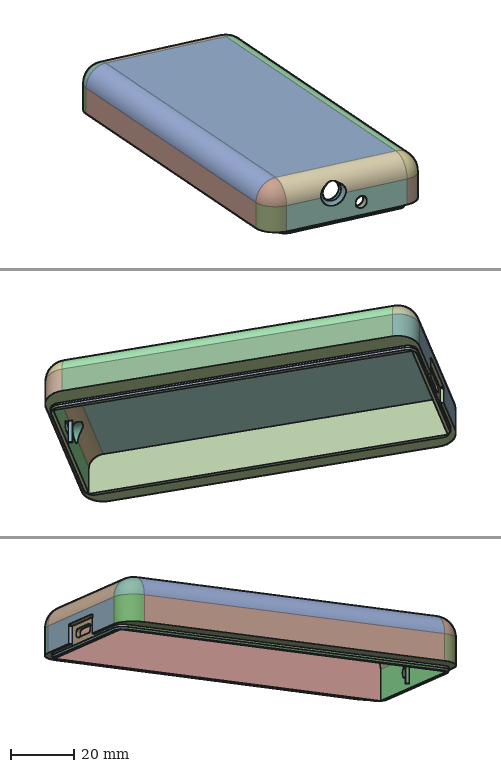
import cadquery as cq
import math

length = 122.0
width = 58.0
height = 17.5
edge_radius = 7.1
wall = 2.5

rim_height = 1.5
rim_end_inset = 1.0
rim_side_inset = 5.6
rim_corner_radius = 3.4
rim_bevel_height = 0.7
rim_bevel_width = 0.4

port_width = 9.5
port_height = 2.9
port_z = 4.1
panel_width = 14.5
panel_top = 7.2
panel_bevel = 0.6

button_diameter = 6.6
button_mouth_diameter = 9.3
button_mouth_depth = 1.0
button_y = -4.8
button_z = 11.3

small_hole_diameter = 4.0
small_hole_y = 5.4
small_hole_z = 5.9
rib_width = 0.5
rib_depth = 1.2
rib_height = 8.5
rib_y = 3.0

end_x = length / 2
rim_length = length - 2 * rim_end_inset
rim_width = width - 2 * rim_side_inset
rim_wall = wall - rim_end_inset
cavity_length = length - 2 * wall
cavity_width = rim_width - 2 * rim_wall
cavity_height = height - wall
cavity_top_radius = edge_radius - wall
cut_depth = 2 * wall


def block(size_x, size_y, size_z):
    """Block centred in X and Y, standing on Z = 0."""
    return cq.Workplane("XY").box(size_x, size_y, size_z, centered=(True, True, False))


def make_body():
    body = block(length, width, height - rim_height)
    body = body.edges("|Z or >Z").fillet(edge_radius)
    return body.translate((0, 0, rim_height))


def make_panel_recess():
    """Recess in the -X end, open at the bottom, with sides that slope outwards."""
    slope = math.degrees(math.atan2(panel_bevel, rim_end_inset))
    return (
        cq.Workplane("YZ", origin=(rim_end_inset - end_x, 0, panel_top / 2))
        .rect(panel_width, panel_top)
        .extrude(-rim_end_inset, taper=-slope)
    )


def make_rim():
    """Rim block, reaching up into the body so that the two join."""
    rim = block(rim_length, rim_width, 2 * rim_height).edges("|Z").fillet(rim_corner_radius)
    return rim.faces("<Z").edges().chamfer(rim_bevel_height, rim_bevel_width)


def make_cavity():
    """Interior space, open through the rim."""
    cavity = block(cavity_length, cavity_width, cavity_height)
    return cavity.faces(">Z").edges("|Y").fillet(cavity_top_radius)


def make_port():
    return (
        cq.Workplane("YZ", origin=(-end_x, 0, port_z))
        .slot2D(port_width, port_height)
        .extrude(cut_depth)
    )


def make_button_hole():
    hole = (
        cq.Workplane("YZ", origin=(end_x, button_y, button_z))
        .circle(button_diameter / 2)
        .extrude(-cut_depth)
    )
    mouth = (
        cq.Workplane("YZ", origin=(end_x, button_y, button_z))
        .circle(button_mouth_diameter / 2)
        .workplane(offset=-button_mouth_depth)
        .circle(button_diameter / 2)
        .loft(combine=True)
    )
    return hole.union(mouth)


def make_small_hole():
    return (
        cq.Workplane("YZ", origin=(end_x, small_hole_y, small_hole_z))
        .circle(small_hole_diameter / 2)
        .extrude(-cut_depth)
    )


def make_rib():
    rib = block(2 * rib_depth, rib_width, rib_height)
    return rib.translate((end_x - wall, rib_y, rim_height))


shell = make_body().cut(make_panel_recess()).union(make_rim()).cut(make_cavity())
shell = shell.union(make_rib())
result = shell.cut(make_port()).cut(make_button_hole()).cut(make_small_hole())